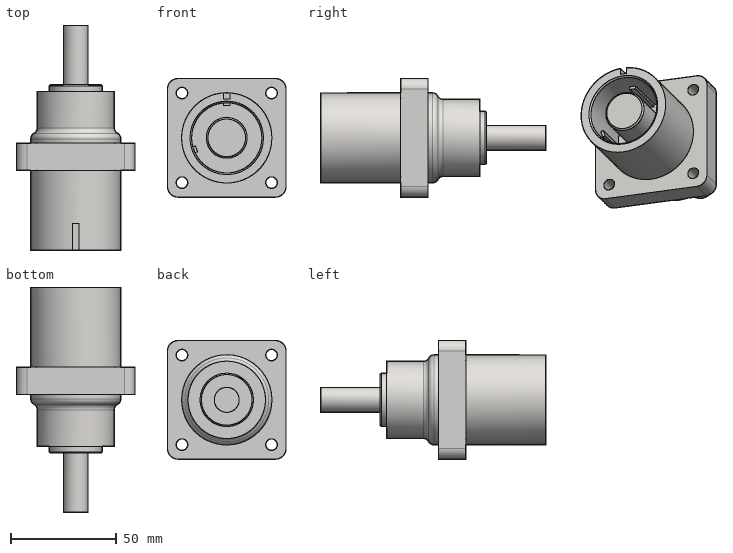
import cadquery as cq
import math

TOTAL_LENGTH = 106.8

FLANGE_SIZE = 56.4
FLANGE_FRONT = 37.9
FLANGE_THICKNESS = 13.0
FLANGE_BACK = FLANGE_FRONT + FLANGE_THICKNESS
CORNER_RADIUS = 5.1
BOLT_SPACING = 42.5
BOLT_HOLE_DIAMETER = 5.3

BARREL_RADIUS = 42.8 / 2
BORE_RADIUS = 33.3 / 2
BORE_DEPTH = FLANGE_FRONT
MOUTH_CHAMFER = 0.7
PIN_RADIUS = 19.3 / 2
PIN_RECESS = 1.4
PIN_CHAMFER = 0.7

KEY_WIDTH = 3.0
KEYWAY_LENGTH = 12.7
KEYWAY_FLOOR_RADIUS = 36.7 / 2
KEY_TIP_RADIUS = 15.3
KEY_ANGLES = (90, 200)

COLLAR_LENGTH = 2.0
SLEEVE_RADIUS = 36.7 / 2
SLEEVE_END = 75.5
SHOULDER_HALF_LENGTH = 2.6
RING_RADIUS = 25.3 / 2
RING_LENGTH = 3.2
RING_CHAMFER = 0.6
CABLE_RADIUS = 11.9 / 2


def cylinder(radius, start, end):
    """Cylinder on the Y axis between two Y positions."""
    return cq.Workplane("XZ", origin=(0, start, 0)).circle(radius).extrude(start - end)


def make_flange():
    flange = cq.Workplane("XZ", origin=(0, FLANGE_FRONT, 0)).rect(FLANGE_SIZE, FLANGE_SIZE)
    flange = flange.extrude(-FLANGE_THICKNESS).edges("|Y").fillet(CORNER_RADIUS)
    holes = cq.Workplane("XZ", origin=(0, FLANGE_FRONT, 0))
    holes = holes.rect(BOLT_SPACING, BOLT_SPACING, forConstruction=True).vertices()
    return flange.cut(holes.circle(BOLT_HOLE_DIAMETER / 2).extrude(-FLANGE_THICKNESS))


def make_rear_body():
    """Collar blending into the sleeve through two equal tangent arcs."""
    half_drop = (BARREL_RADIUS - SLEEVE_RADIUS) / 2
    sweep = 2 * math.atan2(half_drop, SHOULDER_HALF_LENGTH)
    blend_radius = SHOULDER_HALF_LENGTH / math.sin(sweep)
    mid_length = blend_radius * math.sin(sweep / 2)
    mid_drop = blend_radius * (1 - math.cos(sweep / 2))
    shoulder_start = FLANGE_BACK + COLLAR_LENGTH
    shoulder_middle = shoulder_start + SHOULDER_HALF_LENGTH
    shoulder_end = shoulder_middle + SHOULDER_HALF_LENGTH
    profile = (
        cq.Workplane("XY")
        .moveTo(0, FLANGE_BACK)
        .lineTo(BARREL_RADIUS, FLANGE_BACK)
        .lineTo(BARREL_RADIUS, shoulder_start)
        .threePointArc(
            (BARREL_RADIUS - mid_drop, shoulder_start + mid_length),
            (BARREL_RADIUS - half_drop, shoulder_middle),
        )
        .threePointArc(
            (SLEEVE_RADIUS + mid_drop, shoulder_end - mid_length),
            (SLEEVE_RADIUS, shoulder_end),
        )
        .lineTo(SLEEVE_RADIUS, SLEEVE_END)
        .lineTo(0, SLEEVE_END)
        .close()
    )
    body = profile.revolve(360, (0, 0, 0), (0, 1, 0))
    ring_end = SLEEVE_END + RING_LENGTH
    ring = cylinder(RING_RADIUS, SLEEVE_END, ring_end).faces(">Y").chamfer(RING_CHAMFER)
    return body.union(ring).union(cylinder(CABLE_RADIUS, ring_end, TOTAL_LENGTH))


def make_barrel():
    barrel = cylinder(BARREL_RADIUS, 0, FLANGE_FRONT)
    bore = cylinder(BORE_RADIUS, 0, BORE_DEPTH)
    barrel = barrel.cut(bore).faces("<Y").edges("%CIRCLE").edges(cq.selectors.RadiusNthSelector(0))
    barrel = barrel.chamfer(MOUTH_CHAMFER)
    keyway_depth = BARREL_RADIUS - KEYWAY_FLOOR_RADIUS
    keyway = cq.Workplane("XY").box(KEY_WIDTH, KEYWAY_LENGTH, keyway_depth, centered=(True, False, False))
    return barrel.cut(keyway.translate((0, 0, KEYWAY_FLOOR_RADIUS)))


def make_key(angle):
    """Rib standing inward from the bore wall, starting level with the keyway end and rooted in the barrel."""
    root_radius = (BORE_RADIUS + KEYWAY_FLOOR_RADIUS) / 2
    height = root_radius - KEY_TIP_RADIUS
    length = BORE_DEPTH - KEYWAY_LENGTH
    key = cq.Workplane("XY").box(height, length, KEY_WIDTH, centered=(False, False, True))
    key = key.translate((KEY_TIP_RADIUS, KEYWAY_LENGTH, 0))
    return key.rotate((0, 0, 0), (0, 1, 0), -angle)


pin = cylinder(PIN_RADIUS, PIN_RECESS, FLANGE_FRONT).faces("<Y").chamfer(PIN_CHAMFER)

result = make_flange().union(make_rear_body()).union(make_barrel()).union(pin)
for key_angle in KEY_ANGLES:
    result = result.union(make_key(key_angle))